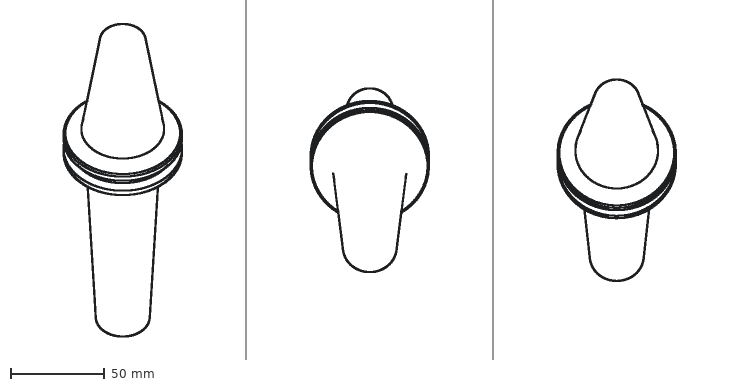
import cadquery as cq
import math

overall_length = 212.5

gauge_radius = 44.45 / 2
taper_length = 68.25
taper_slope = 7 / 48
shank_tip_fillet = 1.0

neck_length = 3.175
neck_radius = 22.1
neck_bevel_height = 0.6
neck_root_fillet = 0.35

flange_radius = 63.5 / 2
flange_thickness = 15.875
top_rim_chamfer = 1.0
bottom_rim_chamfer = 0.8
groove_floor_radius = 28.1
groove_floor_width = 3.4
groove_half_angle = 30

nose_root_radius = 20.0
nose_tip_radius = 14.5
nose_root_fillet = 3.5
nose_tip_fillet = 1.0

flange_top = -neck_length
flange_bottom = flange_top - flange_thickness
groove_middle = (flange_top + flange_bottom) / 2
nose_tip = taper_length - overall_length
shank_tip_radius = gauge_radius - taper_slope * taper_length


def revolve_profile(points):
    """Turn a closed outline of (radius, height) points about the Z axis."""
    return cq.Workplane("XZ").polyline(points).close().revolve(360, (0, 0), (0, 1))


def edges_within(radius, height):
    """Selector for edges lying no further than radius from the axis, at one height."""
    margin = 0.1
    reach = radius + margin
    return cq.selectors.BoxSelector(
        (-reach, -reach, height - margin),
        (reach, reach, height + margin),
        boundingbox=True,
    )


def make_shank():
    taper = revolve_profile([
        (0, 0),
        (gauge_radius, 0),
        (shank_tip_radius, taper_length),
        (0, taper_length),
    ])
    return taper.faces(">Z").edges().fillet(shank_tip_fillet)


def make_neck():
    return revolve_profile([
        (0, flange_top),
        (neck_radius, flange_top),
        (neck_radius, -neck_bevel_height),
        (gauge_radius, 0),
        (0, 0),
    ])


def make_groove():
    """Ring-shaped cutter for the V-groove."""
    depth = flange_radius - groove_floor_radius
    half_floor = groove_floor_width / 2
    half_mouth = half_floor + depth * math.tan(math.radians(groove_half_angle))
    return revolve_profile([
        (groove_floor_radius, groove_middle - half_floor),
        (flange_radius, groove_middle - half_mouth),
        (flange_radius, groove_middle + half_mouth),
        (groove_floor_radius, groove_middle + half_floor),
    ])


def make_flange():
    base = cq.Workplane("XY", origin=(0, 0, flange_bottom))
    disc = base.circle(flange_radius).extrude(flange_thickness)
    disc = disc.faces(">Z").edges().chamfer(top_rim_chamfer)
    disc = disc.faces("<Z").edges().chamfer(bottom_rim_chamfer)
    return disc.cut(make_groove())


def make_nose():
    nose = revolve_profile([
        (0, nose_tip),
        (nose_tip_radius, nose_tip),
        (nose_root_radius, flange_bottom),
        (0, flange_bottom),
    ])
    return nose.faces("<Z").edges().fillet(nose_tip_fillet)


shank_and_flange = make_shank().union(make_neck()).union(make_flange())
neck_root = edges_within(neck_radius, flange_top)
body = shank_and_flange.edges(neck_root).fillet(neck_root_fillet).union(make_nose())
nose_root = edges_within(nose_root_radius, flange_bottom)
result = body.edges(nose_root).fillet(nose_root_fillet)